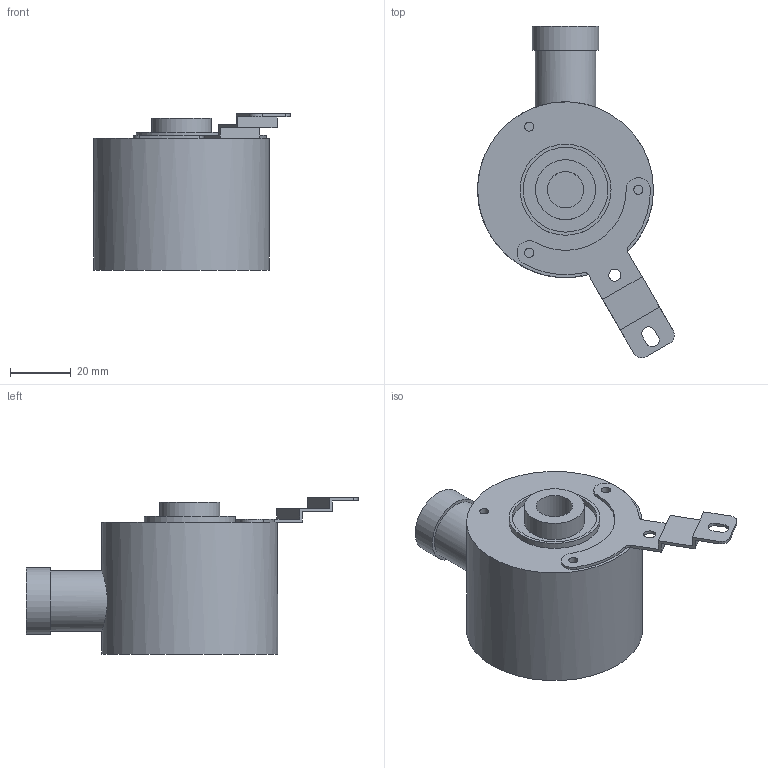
import cadquery as cq
import math

BODY_RADIUS = 29.0
BODY_HEIGHT = 43.5

RING_OUTER_RADIUS = 15.0
RING_INNER_RADIUS = 14.0
RING_HEIGHT = 2.0
HUB_RADIUS = 9.9
HUB_HEIGHT = 6.5
BORE_RADIUS = 6.0
BORE_DEPTH = 30.0

OUTLET_RADIUS = 10.0
OUTLET_AXIS_Z = 17.5
OUTLET_END_Y = 54.0
COLLAR_RADIUS = 11.0
COLLAR_LENGTH = 8.0

SCREW_CIRCLE_RADIUS = 24.0
SCREW_RADIUS = 1.5
SCREW_DEPTH = 6.0
SCREW_COUNT = 3

SHEET = 1.0
BAND_WIDTH = 8.0
BAND_START_ANGLE = -360 / SCREW_COUNT
BAND_END_ANGLE = 0
ARM_ANGLE = (BAND_START_ANGLE + BAND_END_ANGLE) / 2
ARM_WIDTH = 15.0
ARM_END = 61.0
ARM_CORNER_RADIUS = 3.0
ARM_ROOT_FILLET = 1.5
STEP_RISE = 3.5
STEP_STARTS = (37.5, 49.0)
ARM_HOLE_DISTANCE = 32.5
ARM_HOLE_RADIUS = 2.0
SLOT_DISTANCE = 56.0
SLOT_LENGTH = 7.0
SLOT_WIDTH = 4.5


def cylinder(radius, bottom, height):
    return cq.Workplane("XY").workplane(offset=bottom).circle(radius).extrude(height)


def polar_point(radius, angle):
    radians = math.radians(angle)
    return (radius * math.cos(radians), radius * math.sin(radians))


def outlet_cylinder(radius, start_y):
    plane = cq.Plane(origin=(0, start_y, OUTLET_AXIS_Z), xDir=(1, 0, 0), normal=(0, 1, 0))
    return cq.Workplane(plane).circle(radius).extrude(OUTLET_END_Y - start_y)


def make_housing():
    body = cylinder(BODY_RADIUS, 0, BODY_HEIGHT)
    ring = cylinder(RING_OUTER_RADIUS, BODY_HEIGHT, RING_HEIGHT)
    ring = ring.cut(cylinder(RING_INNER_RADIUS, BODY_HEIGHT, RING_HEIGHT))
    hub = cylinder(HUB_RADIUS, BODY_HEIGHT, HUB_HEIGHT)
    bore = cylinder(BORE_RADIUS, BODY_HEIGHT + HUB_HEIGHT - BORE_DEPTH, BORE_DEPTH)
    outlet = outlet_cylinder(OUTLET_RADIUS, 0)
    collar = outlet_cylinder(COLLAR_RADIUS, OUTLET_END_Y - COLLAR_LENGTH)
    return body.union(outlet).union(collar).union(ring).union(hub).cut(bore)


def make_band():
    """Curved band with round ends, following the screw circle."""
    outer = SCREW_CIRCLE_RADIUS + BAND_WIDTH / 2
    inner = SCREW_CIRCLE_RADIUS - BAND_WIDTH / 2
    start_centre = cq.Vector(*polar_point(SCREW_CIRCLE_RADIUS, BAND_START_ANGLE))
    start_tip = start_centre + cq.Vector(*polar_point(BAND_WIDTH / 2, BAND_START_ANGLE - 90))
    end_centre = cq.Vector(*polar_point(SCREW_CIRCLE_RADIUS, BAND_END_ANGLE))
    end_tip = end_centre + cq.Vector(*polar_point(BAND_WIDTH / 2, BAND_END_ANGLE + 90))
    return (
        cq.Workplane("XY")
        .workplane(offset=BODY_HEIGHT)
        .moveTo(*polar_point(outer, BAND_START_ANGLE))
        .threePointArc(polar_point(outer, ARM_ANGLE), polar_point(outer, BAND_END_ANGLE))
        .threePointArc(end_tip.toTuple()[:2], polar_point(inner, BAND_END_ANGLE))
        .threePointArc(polar_point(inner, ARM_ANGLE), polar_point(inner, BAND_START_ANGLE))
        .threePointArc(start_tip.toTuple()[:2], polar_point(outer, BAND_START_ANGLE))
        .close()
        .extrude(SHEET)
    )


def arm_plate(start, end, bottom, height=SHEET):
    """Block of the arm's width, laid along +X before the arm is turned."""
    plate = cq.Workplane("XY").box(end - start, ARM_WIDTH, height, centered=(False, True, False))
    return plate.translate((start, 0, bottom))


def turn_to_arm(shape):
    return shape.rotate((0, 0, 0), (0, 0, 1), ARM_ANGLE)


def make_bracket():
    root = arm_plate(SCREW_CIRCLE_RADIUS, STEP_STARTS[0] + SHEET, BODY_HEIGHT)
    base = make_band().union(turn_to_arm(root))
    band_outer = SCREW_CIRCLE_RADIUS + BAND_WIDTH / 2
    corner_offset = math.degrees(math.asin(ARM_WIDTH / 2 / band_outer))
    for side in (-1, 1):
        corner = polar_point(band_outer, ARM_ANGLE + side * corner_offset)
        nearest = cq.selectors.NearestToPointSelector((*corner, BODY_HEIGHT + SHEET / 2))
        base = base.edges("|Z").edges(nearest).fillet(ARM_ROOT_FILLET)

    steps = cq.Workplane("XY")
    plate_ends = (STEP_STARTS[1] + SHEET, ARM_END)
    for index, (start, end) in enumerate(zip(STEP_STARTS, plate_ends)):
        bottom = BODY_HEIGHT + index * STEP_RISE
        riser = arm_plate(start, start + SHEET, bottom, STEP_RISE + SHEET)
        tread = arm_plate(start, end, bottom + STEP_RISE)
        steps = steps.union(riser).union(tread)
    steps = steps.edges("|Z and >X").fillet(ARM_CORNER_RADIUS)

    bracket_height = len(STEP_STARTS) * STEP_RISE + SHEET
    hole = cylinder(ARM_HOLE_RADIUS, BODY_HEIGHT, bracket_height)
    hole = hole.translate((ARM_HOLE_DISTANCE, 0, 0))
    slot = (
        cq.Workplane("XY")
        .workplane(offset=BODY_HEIGHT)
        .center(SLOT_DISTANCE, 0)
        .slot2D(SLOT_LENGTH, SLOT_WIDTH)
        .extrude(bracket_height)
    )
    return base.union(turn_to_arm(steps)).cut(turn_to_arm(hole)).cut(turn_to_arm(slot))


def make_screw_holes():
    centres = [polar_point(SCREW_CIRCLE_RADIUS, index * 360 / SCREW_COUNT) for index in range(SCREW_COUNT)]
    return (
        cq.Workplane("XY")
        .workplane(offset=BODY_HEIGHT - SCREW_DEPTH)
        .pushPoints(centres)
        .circle(SCREW_RADIUS)
        .extrude(SCREW_DEPTH + SHEET)
    )


result = make_housing().union(make_bracket()).cut(make_screw_holes())